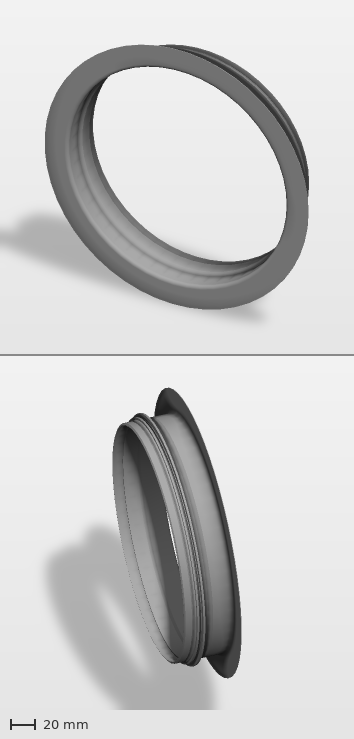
import cadquery as cq
import math

LENGTH = 42.0

WALL = 0.5
FLANGE_RADIUS = 120.0
SLEEVE_RADIUS = 199.0 / 2
NECK_RADIUS = 194.2 / 2
FLARE_RADIUS = 3.0
CONE_START = 17.8
CONE_END = 21.0
NECK_END = 33.4

SEAL_BORE_RADIUS = 195.4 / 2
SEAL_BASE_RADIUS = 99.0
BEAD_RADIUS = SLEEVE_RADIUS
BEAD_FRONT = 35.5
CHAMFER_WIDTH = 1.5
CHAMFER_LENGTH = 1.0
SEAL_FRONT = 26.0
LONG_LIP_RADIUS = 209.3 / 2
LONG_LIP_WIDTH = 1.7
BARB_RADIUS = 100.5
BARB_WIDTH = 0.7
SHORT_LIP_RADIUS = 204.2 / 2
SHORT_LIP_FRONT = 30.2
SHORT_LIP_WIDTH = 1.7
SHOULDER_RADIUS = 100.3
SHOULDER_REAR = 33.0
SHOULDER_FOOT = 34.3

SLEEVE_BORE_RADIUS = SLEEVE_RADIUS - WALL
NECK_BORE_RADIUS = NECK_RADIUS - WALL


def revolve_about_y(profile):
    return profile.close().revolve(360, (0, 0, 0), (0, 1, 0))


def make_collar():
    """Sheet-metal collar: flange, flared sleeve and a narrower neck."""
    flare_center = SLEEVE_BORE_RADIUS + FLARE_RADIUS
    outer_bend = FLARE_RADIUS - WALL
    diagonal = math.sqrt(0.5)
    inner_mid = FLARE_RADIUS * diagonal
    outer_mid = outer_bend * diagonal
    profile = (
        cq.Workplane("XY")
        .moveTo(FLANGE_RADIUS, 0)
        .lineTo(FLANGE_RADIUS, WALL)
        .lineTo(flare_center, WALL)
        .threePointArc(
            (flare_center - outer_mid, FLARE_RADIUS - outer_mid),
            (SLEEVE_RADIUS, FLARE_RADIUS),
        )
        .lineTo(SLEEVE_RADIUS, CONE_START)
        .lineTo(NECK_RADIUS, CONE_END)
        .lineTo(NECK_RADIUS, NECK_END)
        .lineTo(NECK_BORE_RADIUS, NECK_END)
        .lineTo(NECK_BORE_RADIUS, CONE_END)
        .lineTo(SLEEVE_BORE_RADIUS, CONE_START)
        .lineTo(SLEEVE_BORE_RADIUS, FLARE_RADIUS)
        .threePointArc((flare_center - inner_mid, FLARE_RADIUS - inner_mid), (flare_center, 0))
    )
    return revolve_about_y(profile)


def make_seal():
    """Rubber seal: seat around the neck, two outer lips and a rear bead."""
    long_lip_rear = SEAL_FRONT + LONG_LIP_WIDTH
    barb_rear = long_lip_rear + BARB_WIDTH
    short_lip_rear = SHORT_LIP_FRONT + SHORT_LIP_WIDTH
    profile = (
        cq.Workplane("XY")
        .moveTo(NECK_RADIUS, SEAL_FRONT)
        .lineTo(LONG_LIP_RADIUS, SEAL_FRONT)
        .lineTo(LONG_LIP_RADIUS, long_lip_rear)
        .lineTo(BARB_RADIUS, long_lip_rear)
        .lineTo(BARB_RADIUS, barb_rear)
        .lineTo(SEAL_BASE_RADIUS, barb_rear)
        .lineTo(SEAL_BASE_RADIUS, SHORT_LIP_FRONT)
        .lineTo(SHORT_LIP_RADIUS, SHORT_LIP_FRONT)
        .lineTo(SHORT_LIP_RADIUS, short_lip_rear)
        .lineTo(SHOULDER_RADIUS, short_lip_rear)
        .lineTo(SHOULDER_RADIUS, SHOULDER_REAR)
        .lineTo(SEAL_BASE_RADIUS, SHOULDER_FOOT)
        .lineTo(SEAL_BASE_RADIUS, BEAD_FRONT)
        .lineTo(BEAD_RADIUS, BEAD_FRONT)
        .lineTo(BEAD_RADIUS, LENGTH - CHAMFER_LENGTH)
        .lineTo(BEAD_RADIUS - CHAMFER_WIDTH, LENGTH)
        .lineTo(SEAL_BORE_RADIUS, LENGTH)
        .lineTo(SEAL_BORE_RADIUS, NECK_END)
        .lineTo(NECK_RADIUS, NECK_END)
    )
    return revolve_about_y(profile)


collar = make_collar()
seal = make_seal()
result = cq.Compound.makeCompound([collar.val(), seal.val()])